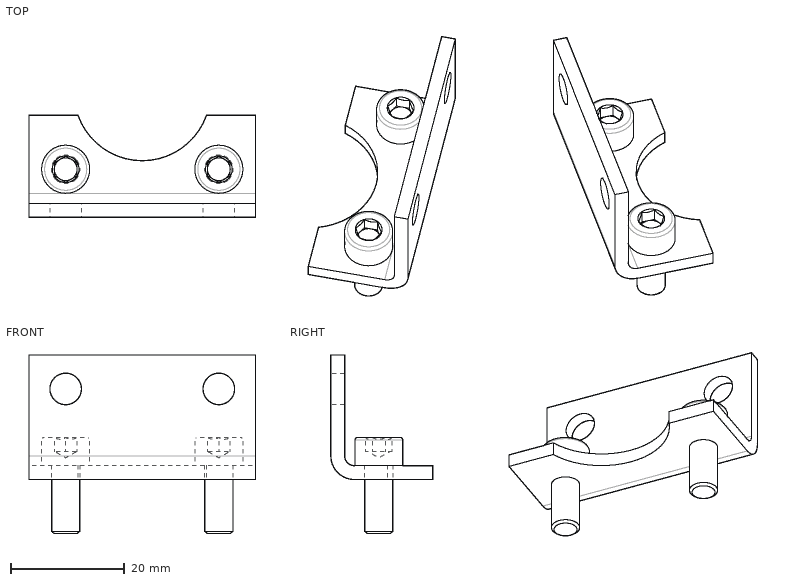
import cadquery as cq
import math

bracket_length = 40.0
base_depth = 18.0
wall_height = 22.0
thickness = 2.5
inner_bend_radius = 1.7
outer_bend_radius = inner_bend_radius + thickness
hole_spacing = 27.0
hole_positions_x = (-hole_spacing / 2, hole_spacing / 2)

wall_hole_diameter = 5.5
wall_hole_height = 16.0

cutout_radius = 12.0
cutout_depth = 8.0
cutout_center_y = base_depth - cutout_depth + cutout_radius

screw_y = 8.5
shank_diameter = 5.0
shank_length = 12.0
tip_chamfer_height = 0.5
tip_chamfer_width = 0.4
head_diameter = 8.5
head_height = 5.0
head_fillet = 0.5

socket_across_flats = 4.0
socket_corner_diameter = socket_across_flats / math.cos(math.radians(30))
socket_depth = 2.5
socket_mouth_diameter = 4.7
socket_mouth_depth = (socket_mouth_diameter - socket_across_flats) / 2
drill_point_angle = 120.0
drill_point_depth = socket_across_flats / 2 / math.tan(math.radians(drill_point_angle / 2))


def make_bracket():
    """Bent plate: base on z = 0, upright wall with its outer face on y = 0."""
    blank = (
        cq.Workplane("YZ")
        .rect(base_depth, wall_height, centered=False)
        .extrude(bracket_length / 2, both=True)
        .edges("|X and <Y and <Z")
        .fillet(outer_bend_radius)
    )
    inside = (
        cq.Workplane("YZ")
        .moveTo(thickness, thickness)
        .rect(base_depth, wall_height, centered=False)
        .extrude(bracket_length / 2, both=True)
        .edges("|X and <Y and <Z")
        .fillet(inner_bend_radius)
    )
    wall_holes = (
        cq.Workplane("XZ")
        .pushPoints([(x, wall_hole_height) for x in hole_positions_x])
        .circle(wall_hole_diameter / 2)
        .extrude(-thickness)
    )
    screw_holes = (
        cq.Workplane("XY")
        .pushPoints([(x, screw_y) for x in hole_positions_x])
        .circle(shank_diameter / 2)
        .extrude(thickness)
    )
    cutout = cq.Workplane("XY").center(0, cutout_center_y).circle(cutout_radius).extrude(thickness)
    return blank.cut(inside).cut(wall_holes).cut(screw_holes).cut(cutout)


def make_socket():
    """Volume removed from the screw head, which has its top at z = head_height."""
    floor_z = head_height - socket_depth
    hexagon = (
        cq.Workplane("XY", origin=(0, 0, floor_z))
        .polygon(6, socket_corner_diameter)
        .extrude(socket_depth)
        .rotate((0, 0, 0), (0, 0, 1), 30)
    )
    mouth = cq.Solid.makeCone(
        socket_mouth_diameter / 2,
        socket_across_flats / 2,
        socket_mouth_depth,
        pnt=cq.Vector(0, 0, head_height),
        dir=cq.Vector(0, 0, -1),
    )
    drill_point = cq.Solid.makeCone(
        socket_across_flats / 2,
        0,
        drill_point_depth,
        pnt=cq.Vector(0, 0, floor_z),
        dir=cq.Vector(0, 0, -1),
    )
    return hexagon.union(cq.Workplane(mouth)).union(cq.Workplane(drill_point))


def make_screw(x):
    """Socket head screw whose head rests on the base at the given x."""
    head = (
        cq.Workplane("XY")
        .circle(head_diameter / 2)
        .extrude(head_height)
        .edges(">Z")
        .fillet(head_fillet)
    )
    shank = (
        cq.Workplane("XY")
        .circle(shank_diameter / 2)
        .extrude(-shank_length)
        .faces("<Z")
        .chamfer(tip_chamfer_width, tip_chamfer_height)
    )
    return head.union(shank).cut(make_socket()).translate((x, screw_y, thickness))


bracket = make_bracket()
screws = [make_screw(x) for x in hole_positions_x]

result = cq.Compound.makeCompound([bracket.val(), *[screw.val() for screw in screws]])